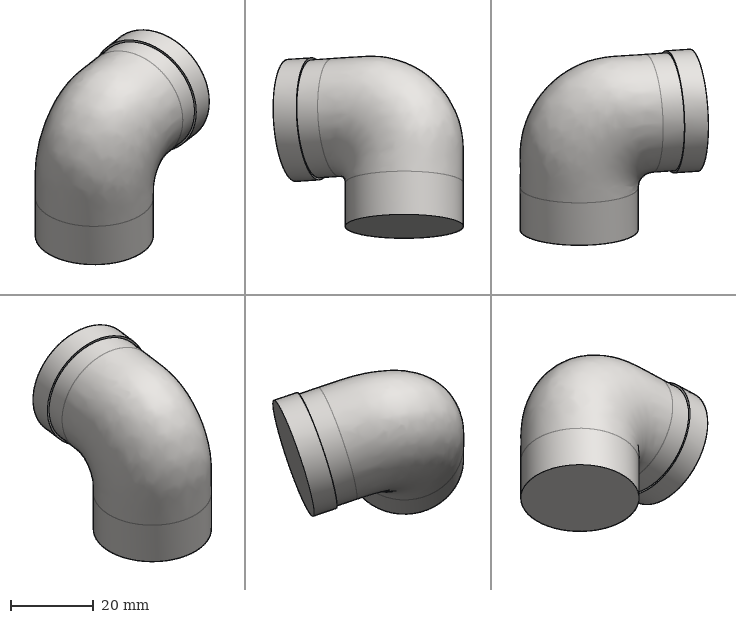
import cadquery as cq
import math

overall_length = 42.8
pipe_diameter = 28.6
collar_diameter = 29.6
collar_length = 5.9
inner_bend_radius = 3.05
outer_bend_radius = 23.33
bend_sections = 13

pipe_radius = pipe_diameter / 2
collar_radius = collar_diameter / 2
bend_radius = pipe_radius + inner_bend_radius
outlet_end = overall_length - pipe_radius
inlet_end = collar_radius - overall_length


def straight_inlet():
    """Vertical pipe from the bottom face up to the bend."""
    length = -bend_radius - inlet_end
    return cq.Workplane("XY").workplane(offset=inlet_end).circle(pipe_radius).extrude(length)


def back_distance(angle):
    """Distance from the bend pivot to the back of the elbow, in the direction of angle (radians)."""
    straight_run = inner_bend_radius + pipe_diameter
    arc_center = straight_run - outer_bend_radius
    tangent_angle = math.atan2(arc_center, straight_run)
    from_nearest_end = min(angle, math.pi / 2 - angle)
    if from_nearest_end <= tangent_angle:
        return straight_run / math.cos(from_nearest_end)
    along = arc_center * (math.cos(angle) + math.sin(angle))
    across = arc_center * (math.cos(angle) - math.sin(angle))
    return along + math.sqrt(outer_bend_radius**2 - across**2)


def bend_section(angle):
    """Ellipse spanning from the crook to the back, in the plane turned by angle about the pivot."""
    back = back_distance(angle)
    middle = (inner_bend_radius + back) / 2
    half_depth = (back - inner_bend_radius) / 2
    outward = cq.Vector(0, -math.cos(angle), math.sin(angle))
    forward = cq.Vector(0, math.sin(angle), math.cos(angle))
    pivot = cq.Vector(0, bend_radius, -bend_radius)
    plane = cq.Plane(origin=pivot + outward * middle, xDir=outward, normal=forward)
    return cq.Workplane(plane).ellipse(half_depth, pipe_radius).wires().val()


def bend():
    """Quarter-turn whose back bulges out of a plain torus, with a constant width."""
    step = math.pi / 2 / (bend_sections - 1)
    sections = [bend_section(i * step) for i in range(bend_sections)]
    return cq.Workplane(cq.Solid.makeLoft(sections))


def along_outlet(radius, start_y):
    """Horizontal cylinder from start_y to the outlet end."""
    return (
        cq.Workplane("XZ", origin=(0, start_y, 0))
        .circle(radius)
        .extrude(start_y - outlet_end)
    )


straight_outlet = along_outlet(pipe_radius, bend_radius)
collar = along_outlet(collar_radius, outlet_end - collar_length)

result = straight_inlet().union(bend()).union(straight_outlet).union(collar)